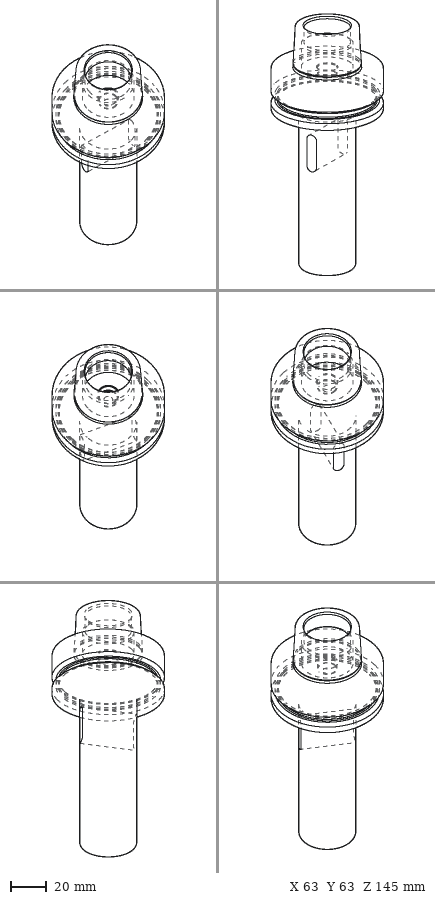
import cadquery as cq
import math

total_height = 145.0
taper_height = 25.0
flange_height = 26.0
flange_radius = 31.5
flange_rim_round = 1.0
flange_top = total_height - taper_height
flange_bottom = flange_top - flange_height

groove_top = flange_top - 14.6
groove_width = 7.0
groove_floor_radius = 27.4
lip_depth = 2.2
lip_height = 1.7
floor_chamfer = 0.6
ledge_inner_radius = groove_floor_radius + floor_chamfer
ledge_outer_radius = flange_radius - lip_depth
groove_bottom = groove_top - groove_width
upper_ledge_z = groove_top - lip_height
lower_ledge_z = groove_bottom + lip_height

taper_top_radius = 18.0
taper_foot_radius = 19.1
taper_foot_height = 2.0
taper_rim_round = 1.0
neck_radius = 18.7
neck_height = 1.2
neck_foot_radius = 19.0
neck_foot_height = 0.3
ring_outer_radius = 20.5
ring_inner_radius = 19.3
ring_depth = 0.1

shank_diameter = 32.0
shank_radius = shank_diameter / 2
shank_root_fillet = 3.0
shank_end_round = 2.0

bore_radius = 13.0
mouth_radius = 13.5
mouth_depth = 1.3
shoulder_depth = 10.0
undercut_radius = 14.5
undercut_slope_height = 0.9
bore_depth = 25.0

hole_radius = 5.5
hole_chamfer = 0.5
hole_depth = 4.4
seat_radius = 5.1
cone_tip_radius = 2.5
cone_depth = 1.6

slot_width = 6.5
slot_length = 22.0
slot_center_z = 73.2

match_tolerance = 0.01


def revolve_about_z(points):
    """Solid of revolution from (radius, z) points; the ends lie on the Z axis."""
    outline = cq.Workplane("XZ").polyline(points).close()
    return outline.revolve(360, (0, 0, 0), (0, 1, 0))


def circle_at(body, radius, z):
    """Circular edge of the turned body with the given radius and height."""
    def matches(edge):
        return (
            edge.geomType() == "CIRCLE"
            and math.isclose(edge.radius(), radius, abs_tol=match_tolerance)
            and math.isclose(edge.Center().z, z, abs_tol=match_tolerance)
        )

    return body.newObject([edge for edge in body.edges().vals() if matches(edge)])


def turned_body():
    body = revolve_about_z([
        (0, 0),
        (shank_radius, 0),
        (shank_radius, flange_bottom),
        (flange_radius, flange_bottom),
        (flange_radius, groove_bottom),
        (ledge_outer_radius, lower_ledge_z),
        (ledge_inner_radius, lower_ledge_z),
        (groove_floor_radius, lower_ledge_z + floor_chamfer),
        (groove_floor_radius, upper_ledge_z - floor_chamfer),
        (ledge_inner_radius, upper_ledge_z),
        (ledge_outer_radius, upper_ledge_z),
        (flange_radius, groove_top),
        (flange_radius, flange_top),
        (ring_outer_radius, flange_top),
        (ring_inner_radius, flange_top - ring_depth),
        (neck_foot_radius, flange_top + neck_foot_height),
        (neck_radius, flange_top + neck_height),
        (taper_foot_radius, flange_top + taper_foot_height),
        (taper_top_radius, total_height),
        (0, total_height),
    ])
    rounded_edges = [
        (shank_radius, 0, shank_end_round),
        (shank_radius, flange_bottom, shank_root_fillet),
        (flange_radius, flange_bottom, flange_rim_round),
        (flange_radius, flange_top, flange_rim_round),
        (taper_top_radius, total_height, taper_rim_round),
    ]
    for radius, z, round_radius in rounded_edges:
        body = circle_at(body, radius, z).fillet(round_radius)
    return body


def clamping_bore():
    floor_z = total_height - bore_depth
    shoulder_z = total_height - shoulder_depth
    return revolve_about_z([
        (0, total_height),
        (mouth_radius, total_height),
        (bore_radius, total_height - mouth_depth),
        (bore_radius, shoulder_z),
        (undercut_radius, shoulder_z - undercut_slope_height),
        (undercut_radius, floor_z),
        (0, floor_z),
    ])


def floor_hole():
    top_z = total_height - bore_depth
    seat_z = top_z - hole_depth
    tip_z = seat_z - cone_depth
    return revolve_about_z([
        (0, top_z),
        (hole_radius + hole_chamfer, top_z),
        (hole_radius, top_z - hole_chamfer),
        (hole_radius, seat_z),
        (seat_radius, seat_z),
        (cone_tip_radius, tip_z),
        (0, tip_z),
    ])


def cross_slot():
    return (
        cq.Workplane("XZ")
        .center(0, slot_center_z)
        .slot2D(slot_length, slot_width, 90)
        .extrude(shank_radius, both=True)
    )


result = turned_body().cut(clamping_bore()).cut(floor_hole()).cut(cross_slot())